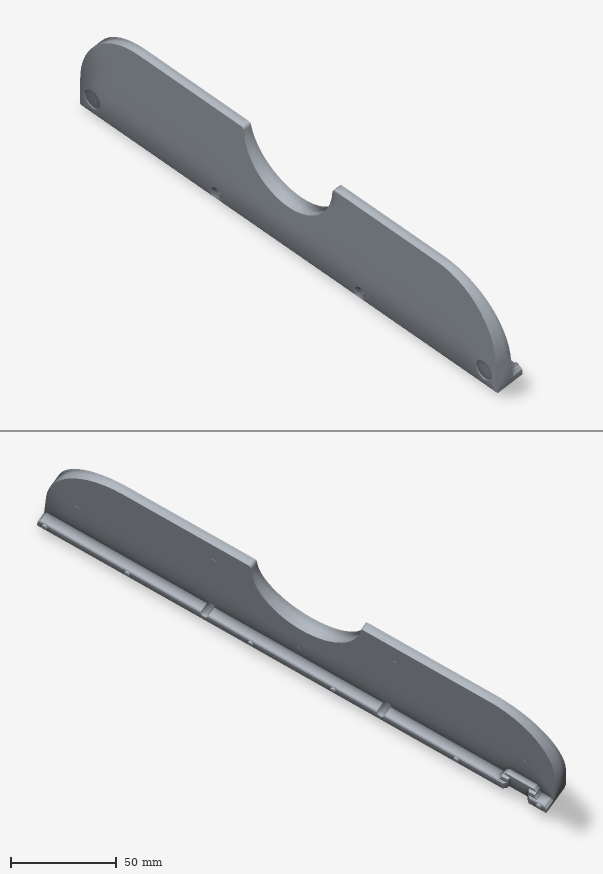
import cadquery as cq
import math

length = 283.0
height = 58.0
base_depth = 12.0
lean = 7.0
end_radius = 39.5
cutout_radius = 30.3
cutout_lip_radius = 1.7
front_bevel_depth = 1.5
front_bevel_height = 2.0

ledge_depth = 6.0
ledge_top = 4.8
ledge_end_bevel = 1.5
ledge_rear_bevel = 0.5

screw_x = 49.0
screw_height = ledge_top
screw_diameter = 4.2
screw_head_diameter = 7.4
screw_head_depth = 1.7

recess_x = 133.3
recess_z = 10.2
recess_diameter = 10.8
recess_depth = 0.8

pip_diameter = 2.8
ledge_pip_rise = 0.8
ledge_pip_height = 2.8
ledge_pip_places = (23.0, 91.5, 137.3)
plate_pip_rise = 0.15
plate_pips = ((0, 10.0), (50.5, 44.7), (-50.5, 44.7), (124.5, 23.2), (-124.5, 23.2))

catch_x = -124.5
catch_width = 18.7
catch_foot_bevel = 1.5
catch_post_top = 8.0
catch_post_inset = 1.0
catch_wall_top = 9.5
catch_wall_depth = 3.0
catch_wall_bevel = 1.7
notch_width = 11.0
notch_corner_bevel = 1.7

half_length = length / 2
root_depth = base_depth / 2
clearance = 2.8
ledge_rear = base_depth + ledge_depth
wall_rear = base_depth + catch_wall_depth


def rearward(start, height_up=0.0, x=0.0):
    """Sketch plane facing the front at depth `start`; negative extrusion goes to the rear."""
    return cq.Workplane(cq.Plane((x, start, height_up), (1, 0, 0), (0, -1, 0)))


def prism(points, start, depth):
    """Extrude an X-Z outline from depth `start` toward the rear."""
    return rearward(start).polyline(points).close().extrude(-depth)


def plate():
    """Wide slab with rounded upper corners and the round cutout; its front is trimmed upright later."""
    overlap = height * math.tan(math.radians(lean))
    start = -overlap
    depth = base_depth + overlap
    tangent_z = height - end_radius
    tangent_x = half_length - end_radius
    slab = (
        rearward(start)
        .moveTo(-half_length, 0)
        .lineTo(half_length, 0)
        .lineTo(half_length, tangent_z)
        .radiusArc((tangent_x, height), -end_radius)
        .lineTo(-tangent_x, height)
        .radiusArc((-half_length, tangent_z), -end_radius)
        .close()
        .extrude(-depth)
    )
    cutout = rearward(start, height).circle(cutout_radius).extrude(-depth)
    slab = slab.cut(cutout)
    lip_edges = cq.selectors.BoxSelector(
        (-cutout_radius - clearance, start - clearance, height - clearance),
        (cutout_radius + clearance, base_depth + clearance, height + clearance),
    )
    return slab.edges("|Y").edges(lip_edges).fillet(cutout_lip_radius)


def ledge():
    """Full-length bar overlapping the plate, bevelled at its top ends and its top rear edge."""
    outline = [
        (-half_length, 0),
        (half_length, 0),
        (half_length, ledge_top - ledge_end_bevel),
        (half_length - ledge_end_bevel, ledge_top),
        (ledge_end_bevel - half_length, ledge_top),
        (-half_length, ledge_top - ledge_end_bevel),
    ]
    bar = prism(outline, root_depth, ledge_rear - root_depth)
    return bar.faces(">Z").edges(">Y").chamfer(ledge_rear_bevel)


def catch():
    """Two posts with sloped feet, joined in front by a taller thin wall with bevelled top corners."""
    half = catch_width / 2
    foot = half + catch_foot_bevel
    foot_top = ledge_top + catch_foot_bevel
    posts = prism(
        [
            (catch_x - foot, ledge_top),
            (catch_x + foot, ledge_top),
            (catch_x + half, foot_top),
            (catch_x + half, catch_post_top),
            (catch_x - half, catch_post_top),
            (catch_x - half, foot_top),
        ],
        root_depth,
        ledge_rear - catch_post_inset - root_depth,
    )
    shoulder = half - catch_wall_bevel
    wall = prism(
        [
            (catch_x - half, ledge_top),
            (catch_x + half, ledge_top),
            (catch_x + half, catch_post_top),
            (catch_x + shoulder, catch_wall_top),
            (catch_x - shoulder, catch_wall_top),
            (catch_x - half, catch_post_top),
        ],
        root_depth,
        wall_rear - root_depth,
    )
    return posts.union(wall)


def catch_notch():
    """Flared gap through ledge and posts, behind the catch wall."""
    half = notch_width / 2
    flare = half + notch_corner_bevel
    return (
        cq.Workplane("XY")
        .polyline(
            [
                (catch_x - half, wall_rear),
                (catch_x + half, wall_rear),
                (catch_x + half, ledge_rear - notch_corner_bevel),
                (catch_x + flare, ledge_rear),
                (catch_x - flare, ledge_rear),
                (catch_x - half, ledge_rear - notch_corner_bevel),
            ]
        )
        .close()
        .extrude(catch_wall_top)
    )


def screw_hole(x):
    """Through hole with a conical head seat; the cone starts where the hole axis meets the front face."""
    axis_start = screw_height * math.tan(math.radians(lean))
    axis = rearward(-clearance, screw_height, x)
    hole = axis.circle(screw_diameter / 2).extrude(-ledge_rear - 2 * clearance)
    head = axis.circle(screw_head_diameter / 2).extrude(-clearance - axis_start)
    cone = (
        rearward(axis_start, screw_height, x)
        .circle(screw_head_diameter / 2)
        .workplane(offset=-screw_head_depth)
        .circle(screw_diameter / 2)
        .loft()
    )
    return hole.union(head).union(cone)


def pip(x, height_up, surface, rise):
    """Short round pin rooted in a rear-facing surface at depth `surface` and standing out by `rise`."""
    return rearward(surface - rise, height_up, x).circle(pip_diameter / 2).extrude(-2 * rise)


def front_trim():
    """Everything ahead of the upright front face and below the bevel along its foot."""
    return (
        cq.Workplane("YZ")
        .polyline(
            [
                (0, 2 * height),
                (0, front_bevel_height),
                (front_bevel_depth, 0),
                (front_bevel_depth, -height),
                (-height, -height),
                (-height, 2 * height),
            ]
        )
        .close()
        .extrude(half_length + clearance, both=True)
    )


body = plate().union(ledge()).union(catch()).cut(catch_notch())
for side in (-1, 1):
    body = body.cut(screw_hole(side * screw_x))
    for place in ledge_pip_places:
        body = body.union(pip(side * place, ledge_pip_height, ledge_rear, ledge_pip_rise))
for x, height_up in plate_pips:
    body = body.union(pip(x, height_up, base_depth, plate_pip_rise))

body = body.rotate((0, 0, 0), (1, 0, 0), lean).cut(front_trim())
recesses = (
    rearward(0, recess_z)
    .pushPoints([(-recess_x, 0), (recess_x, 0)])
    .circle(recess_diameter / 2)
    .extrude(-recess_depth)
)
result = body.cut(recesses)